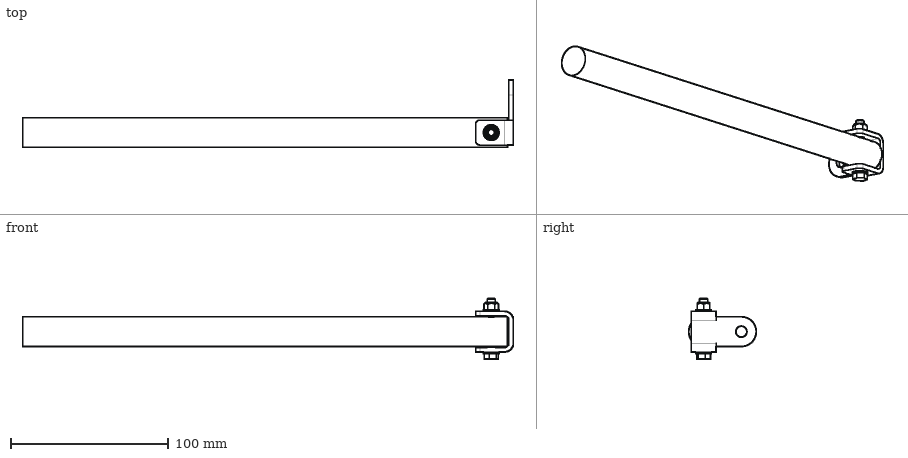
import cadquery as cq
import math

overall_length = 311.7
rod_diameter = 19.0

strap_thickness = 3.0
strap_gap = 20.0
strap_width = 16.0
leg_length = 24.0
bend_outer_radius = 5.5
leg_corner_radius = 2.8
strap_height = strap_gap + 2 * strap_thickness
rod_end_clearance = 0.5
rod_length = overall_length - strap_thickness - rod_end_clearance

tab_height = rod_diameter
tab_hole_offset = 24.0
tab_hole_diameter = 7.0

bolt_x = overall_length - 14.0
bolt_diameter = 5.3
bolt_top = 21.2
bolt_end_chamfer = 0.5
washer_diameter = 10.0
washer_thickness = 1.0
hex_across_flats = 8.0
hex_sides = 6
hex_half_face_angle = 180.0 / hex_sides
hex_across_corners = hex_across_flats / math.cos(math.radians(hex_half_face_angle))
head_height = 3.5
head_turn = 13.0
nut_height = 4.7
nut_top_diameter = 7.0
nut_cone_angle = 45.0
washer_top = strap_height / 2 + washer_thickness


def make_rod():
    return cq.Workplane("YZ").circle(rod_diameter / 2).extrude(rod_length)


def make_strap():
    """U-shaped strap: a rounded block with the space between its legs removed."""
    outer = (
        cq.Workplane("XY")
        .box(leg_length, strap_width, strap_height)
        .edges("|Y and >X")
        .fillet(bend_outer_radius)
        .edges("|Z and <X")
        .fillet(leg_corner_radius)
    )
    opening = (
        cq.Workplane("XY")
        .box(leg_length, strap_width, strap_gap)
        .edges("|Y and >X")
        .fillet(bend_outer_radius - strap_thickness)
        .translate((-strap_thickness, 0, 0))
    )
    return outer.cut(opening).translate((overall_length - leg_length / 2, 0, 0))


def make_tab():
    """Flat tongue with a round end and a hole at the centre of that end."""
    half_height = tab_height / 2
    return (
        cq.Workplane("YZ", origin=(overall_length - strap_thickness, 0, 0))
        .moveTo(strap_width / 2, -half_height)
        .lineTo(tab_hole_offset, -half_height)
        .threePointArc((tab_hole_offset + half_height, 0), (tab_hole_offset, half_height))
        .lineTo(strap_width / 2, half_height)
        .close()
        .moveTo(tab_hole_offset, 0)
        .circle(tab_hole_diameter / 2)
        .extrude(strap_thickness)
    )


def bolt_plane(z):
    return cq.Workplane("XY", origin=(bolt_x, 0, z))


def make_nut():
    """Hexagon whose top corners are turned down to a cone."""
    nut = bolt_plane(washer_top).polygon(hex_sides, hex_across_corners).extrude(nut_height)
    cone_inset = (hex_across_corners - nut_top_diameter) / 2
    cone_height = cone_inset * math.tan(math.radians(nut_cone_angle))
    envelope = (
        bolt_plane(washer_top)
        .circle(hex_across_corners / 2)
        .extrude(nut_height)
        .faces(">Z")
        .chamfer(cone_height, cone_inset)
    )
    return nut.intersect(envelope)


def make_fastener():
    """Bolt pointing up through both strap legs, with a washer at each leg."""
    shank = (
        bolt_plane(-washer_top)
        .circle(bolt_diameter / 2)
        .extrude(bolt_top + washer_top)
        .faces(">Z")
        .chamfer(bolt_end_chamfer)
    )
    head = (
        bolt_plane(-washer_top)
        .transformed(rotate=(0, 0, head_turn))
        .polygon(hex_sides, hex_across_corners)
        .extrude(-head_height)
    )
    top_washer = bolt_plane(washer_top).circle(washer_diameter / 2).extrude(-washer_thickness)
    bottom_washer = bolt_plane(-washer_top).circle(washer_diameter / 2).extrude(washer_thickness)
    return shank.union(head).union(top_washer).union(bottom_washer).union(make_nut())


result = make_rod().union(make_strap()).union(make_tab()).union(make_fastener())